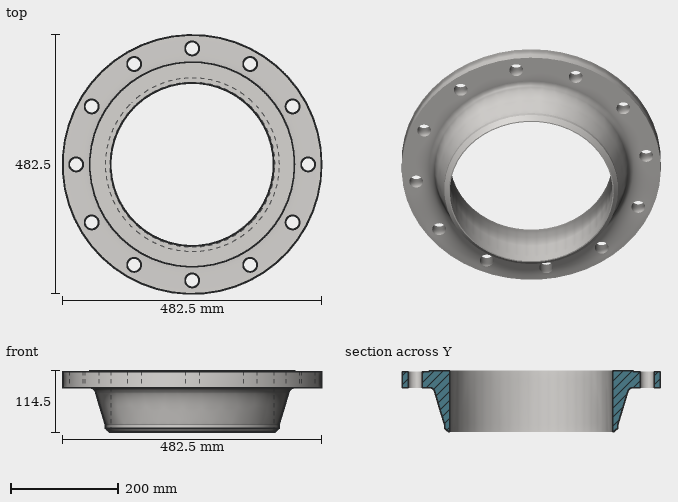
import cadquery as cq

flange_diameter = 482.5
flange_thickness = 30.5
face_diameter = 381.3
face_height = 1.5

total_height = 114.5
hub_base_diameter = 365.0
hub_fillet_radius = 10.0
weld_end_diameter = 324.0
weld_end_length = 14.5
bevel_height = 7.5
bevel_width = 8.0
bore_diameter = 303.0

bolt_count = 12
bolt_circle_diameter = 432.0
bolt_hole_diameter = 25.5

flange_top = total_height - face_height
flange_bottom = flange_top - flange_thickness


def make_hub():
    """Solid hub: bevelled weld end, short cylinder, then a cone up to the flange."""
    weld_end_radius = weld_end_diameter / 2
    return (
        cq.Workplane("XZ")
        .moveTo(0, 0)
        .lineTo(weld_end_radius - bevel_width, 0)
        .lineTo(weld_end_radius, bevel_height)
        .lineTo(weld_end_radius, weld_end_length)
        .lineTo(hub_base_diameter / 2, flange_bottom)
        .lineTo(0, flange_bottom)
        .close()
        .revolve(360, (0, 0, 0), (0, 1, 0))
    )


def make_disc(diameter, bottom, height):
    """Solid disc on the part axis."""
    return cq.Workplane("XY").workplane(offset=bottom).circle(diameter / 2).extrude(height)


def make_bolt_holes():
    """Cutters for the bolt holes, the first one on the +X axis."""
    return (
        cq.Workplane("XY")
        .workplane(offset=flange_bottom)
        .polarArray(bolt_circle_diameter / 2, 0, 360, bolt_count)
        .circle(bolt_hole_diameter / 2)
        .extrude(flange_thickness)
    )


body = make_hub().union(make_disc(flange_diameter, flange_bottom, flange_thickness))

hub_corner = cq.selectors.RadiusNthSelector(-2)
body = body.edges("%CIRCLE").edges(hub_corner).fillet(hub_fillet_radius)

body = body.union(make_disc(face_diameter, flange_top, face_height))
body = body.cut(make_disc(bore_diameter, 0, total_height))
result = body.cut(make_bolt_holes())